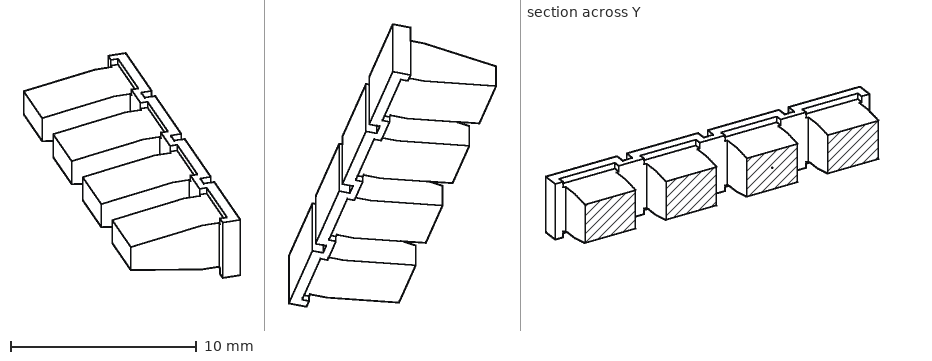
import cadquery as cq
import math


key_count = 4
pad_width = 4.5
gap_width = 0.6
pitch = pad_width + gap_width
strip_length = key_count * pad_width + (key_count - 1) * gap_width
strip_height = 3.4
strip_thickness = 1.0
web_thickness = 0.4

total_depth = 6.0
key_width = 3.2
key_height = 2.7
taper_angle = 9.0
straight_length = 0.95

notch_width = 3.5
notch_depth = 0.4
notch_height = (strip_height - key_height) / 2

strip_back = strip_thickness
groove_depth = strip_thickness - web_thickness
groove_center_y = strip_back - groove_depth / 2
tip_y = strip_thickness - total_depth

taper_length = -straight_length - tip_y
tip_height = key_height - 2 * taper_length * math.tan(math.radians(taper_angle))


def make_strip():
    """Flat bar that carries all the keys, centred on X and Z."""
    return cq.Workplane("XY").box(
        strip_length, strip_thickness, strip_height
    ).translate((0, strip_thickness / 2, 0))


def make_groove(center_x):
    """Full-height back groove that leaves a thin web between two pads."""
    return cq.Workplane("XY").box(
        gap_width, groove_depth, strip_height
    ).translate((center_x, groove_center_y, 0))


def make_notch(center_x, side):
    """Front notch at the top (side = 1) or bottom (side = -1) of the strip."""
    center_z = side * (strip_height - notch_height) / 2
    return cq.Workplane("XY").box(
        notch_width, notch_depth, notch_height
    ).translate((center_x, notch_depth / 2, center_z))


def make_key(center_x):
    """Key rooted in the strip, straight at first and then tapering to its tip."""
    root_y = notch_depth
    profile = [
        (root_y, key_height / 2),
        (-straight_length, key_height / 2),
        (tip_y, tip_height / 2),
        (tip_y, -tip_height / 2),
        (-straight_length, -key_height / 2),
        (root_y, -key_height / 2),
    ]
    return (
        cq.Workplane("YZ")
        .polyline(profile)
        .close()
        .extrude(key_width / 2, both=True)
        .translate((center_x, 0, 0))
    )


first_key_x = -(key_count - 1) * pitch / 2
key_centers = [first_key_x + index * pitch for index in range(key_count)]

result = make_strip()

for key_x in key_centers[:-1]:
    result = result.cut(make_groove(key_x + pitch / 2))

for key_x in key_centers:
    for side in (1, -1):
        result = result.cut(make_notch(key_x, side))
    result = result.union(make_key(key_x))

result = result.clean()